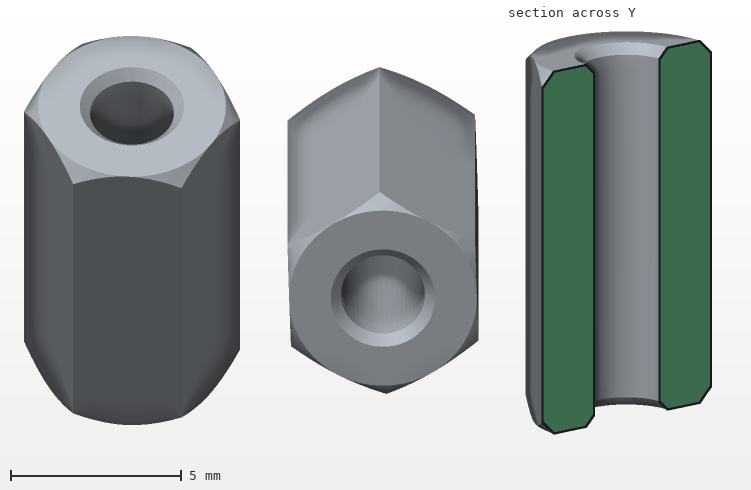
import cadquery as cq
import math


length = 11.0
across_flats = 5.5
bore_diameter = 2.46
countersink_diameter = 3.06

hexagon_half_angle = math.radians(30)
across_corners = across_flats / math.cos(hexagon_half_angle)
corner_chamfer = (across_corners - across_flats) / 2
countersink_depth = (countersink_diameter - bore_diameter) / 2


def hex_bar():
    """Hexagonal prism with two corners on the X axis."""
    return cq.Workplane("XY").polygon(6, across_corners).extrude(length)


def corner_envelope():
    """Round bar with 45 degree ends; its end faces touch the flats of the hexagon."""
    bar = cq.Workplane("XY").circle(across_corners / 2).extrude(length)
    return bar.faces("|Z").chamfer(corner_chamfer)


def countersunk_bore():
    """Through bore with a 45 degree countersink at both ends, as a solid to remove."""
    bore_radius = bore_diameter / 2
    countersink_radius = countersink_diameter / 2
    half_profile = (
        cq.Workplane("XZ")
        .moveTo(0, 0)
        .lineTo(countersink_radius, 0)
        .lineTo(bore_radius, countersink_depth)
        .lineTo(bore_radius, length - countersink_depth)
        .lineTo(countersink_radius, length)
        .lineTo(0, length)
        .close()
    )
    return half_profile.revolve(360, (0, 0, 0), (0, 1, 0))


result = hex_bar().intersect(corner_envelope()).cut(countersunk_bore())